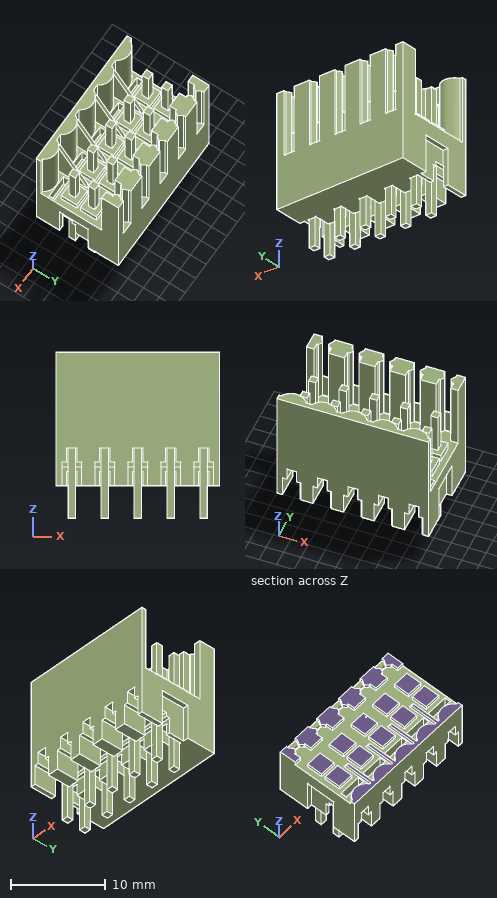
import cadquery as cq


length = 17.4
depth = 10.5
total_height = 17.7
base_bottom = 3.47
floor_z = 9.77
front_wall = 0.58
rear_wall = 2.12
wall_height = total_height - floor_z
rear_wall_y = depth - rear_wall

columns = 5
pitch = 3.5
pin_size = 0.81
pin_top = 15.45
front_pin_y = 3.73
row_spacing = 2.5
rear_pin_y = front_pin_y + row_spacing
collar_size = 2.02
collar_height = 0.8

bump_width = 2.8
bump_rise = 0.83

rib_thickness = 0.39
rib_run = 3.72
rib_height = 5.84

floor_slot_length = 2.76
floor_slot_shift = 0.07
floor_slot_width = 0.73
floor_slot_y = 1.49
floor_slot_depth = 1.77

key_rear_half = 0.69
key_straight = 0.3
neck_half = 0.35
neck_rear = 0.81
neck_front = 0.9
key_ledge = 1.3
key_ledge_half = 0.65
key_front_half = 0.83
web_height = 2.9

channel_front_y = 2.97
channel_rear_y = 4.58
channel_height = 2.02
notch_width = 2.1
notch_height = 2.53
pin_slot_width = 1.12
front_slot_height = 4.04
rear_slot_height = 1.5
end_recess = 0.65
end_recess_height = 4.48
front_pin_back = front_pin_y + pin_size / 2
rear_pin_back = rear_pin_y + pin_size / 2

column_x = [(i - (columns - 1) / 2) * pitch for i in range(columns)]
gap_x = [x + pitch / 2 for x in column_x[:-1]]


def block(x, width, y_start, y_end, z_start, z_end):
    """Box centred on x in the X direction, with given Y and Z limits."""
    size = (width, y_end - y_start, z_end - z_start)
    return cq.Workplane("XY").box(*size, centered=(True, False, False)).translate((x, y_start, z_start))


def underside_cut(x, width, y_start, y_end, height):
    """Box rising from the underside of the housing."""
    return block(x, width, y_start, y_end, base_bottom, base_bottom + height)


def pin(x, y):
    """Full-height square pin with its collar on the floor."""
    half_pin = pin_size / 2
    half_collar = collar_size / 2
    post = block(x, pin_size, y - half_pin, y + half_pin, 0, pin_top)
    collar = block(x, collar_size, y - half_collar, y + half_collar, floor_z, floor_z + collar_height)
    return post.union(collar)


def bump(x):
    """Segment of a cylinder standing against the front wall."""
    half = bump_width / 2
    return (
        cq.Workplane("XY", origin=(x, front_wall, floor_z))
        .moveTo(-half, 0)
        .threePointArc((0, bump_rise), (half, 0))
        .close()
        .extrude(wall_height)
    )


def rib(x):
    """Triangular brace from the floor up the front wall."""
    return (
        cq.Workplane("YZ", origin=(x - rib_thickness / 2, front_wall, floor_z))
        .polyline([(0, 0), (rib_run, 0), (0, rib_height)])
        .close()
        .extrude(rib_thickness)
    )


def floor_slot(x):
    """Blind slot in the floor beside the bump."""
    slot_end_y = floor_slot_y + floor_slot_width
    slot_bottom = floor_z - floor_slot_depth
    return block(x + floor_slot_shift, floor_slot_length, floor_slot_y, slot_end_y, slot_bottom, floor_z)


def keyway(x):
    """Hourglass passage through the rear wall, above the floor."""
    right_side = [
        (key_rear_half, 0),
        (key_rear_half, -key_straight),
        (neck_half, -neck_rear),
        (neck_half, -neck_front),
        (key_ledge_half, -key_ledge),
        (key_front_half, -key_ledge),
        (key_front_half, -rear_wall),
    ]
    left_side = [(-px, py) for px, py in reversed(right_side)]
    return (
        cq.Workplane("XY", origin=(x, depth, floor_z))
        .polyline(right_side + left_side)
        .close()
        .extrude(wall_height)
    )


def key_web(x):
    """Thin web across the neck of a keyway."""
    return block(x, 2 * neck_half, depth - neck_front, depth - neck_rear, floor_z, floor_z + web_height)


housing = block(0, length, 0, depth, base_bottom, floor_z)
housing = housing.union(block(0, length, 0, front_wall, floor_z, total_height))
housing = housing.union(block(0, length, rear_wall_y, depth, floor_z, total_height))

for x in gap_x:
    housing = housing.union(rib(x))

for x in column_x:
    housing = housing.union(bump(x)).cut(keyway(x)).union(key_web(x))
    housing = housing.cut(floor_slot(x))

housing = housing.cut(underside_cut(0, length, channel_front_y, channel_rear_y, channel_height))
housing = housing.cut(underside_cut(0, length, channel_front_y, front_pin_back, notch_height))
for side in (-1, 1):
    recess_x = side * (length - end_recess) / 2
    housing = housing.cut(
        underside_cut(recess_x, end_recess, channel_front_y, rear_pin_back, end_recess_height)
    )

for x in column_x:
    housing = housing.cut(underside_cut(x, notch_width, 0, channel_front_y, notch_height))
    housing = housing.cut(underside_cut(x, pin_slot_width, 0, front_pin_back, front_slot_height))
    housing = housing.cut(underside_cut(x, pin_slot_width, channel_rear_y, rear_pin_back, rear_slot_height))

result = housing
for x in column_x:
    for y in (front_pin_y, rear_pin_y):
        result = result.union(pin(x, y))